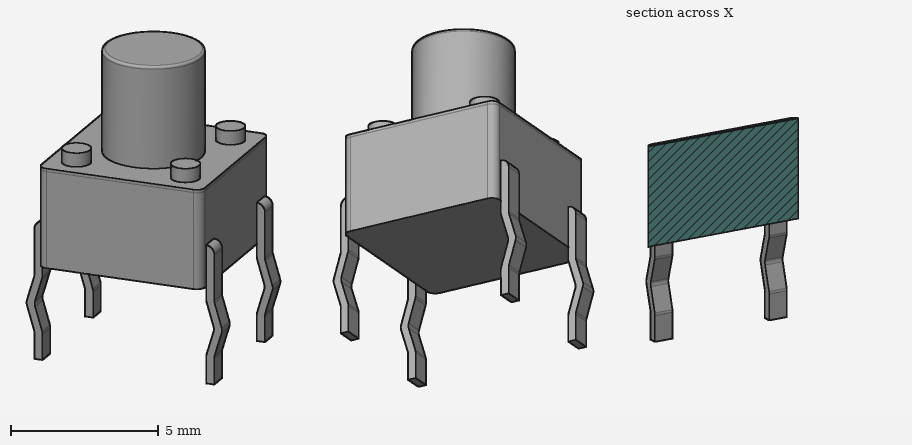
import cadquery as cq

BODY_SIDE = 6.0
BODY_HEIGHT = 3.5
BODY_CORNER_RADIUS = 0.3

COVER_THICKNESS = 0.1
COVER_TOP = BODY_HEIGHT + COVER_THICKNESS

BUTTON_DIAMETER = 3.5
BUTTON_HEIGHT = 3.7
BUTTON_EDGE_RADIUS = 0.1

POST_DIAMETER = 1.0
POST_HEIGHT = 0.5
POST_SPACING = 4.0

LEAD_THICKNESS = 0.3
LEAD_WIDTH = 0.7
LEAD_SPACING = 4.5
LEAD_TOP = 1.5
LEAD_BOTTOM = -3.5
KINK_CENTER = -1.5
KINK_HALF_HEIGHT = 1.0
KINK_OFFSET = 0.3
KINK_BEND_RADIUS = 0.3


def make_plate(bottom, thickness):
    """Square plate with the rounded corners shared by housing and cover."""
    plate = cq.Workplane("XY", origin=(0, 0, bottom)).rect(BODY_SIDE, BODY_SIDE).extrude(thickness)
    return plate.edges("|Z").fillet(BODY_CORNER_RADIUS)


def make_button():
    """Cylinder standing on the cover, with a rounded top edge."""
    button = cq.Workplane("XY", origin=(0, 0, COVER_TOP)).circle(BUTTON_DIAMETER / 2).extrude(BUTTON_HEIGHT)
    return button.faces(">Z").edges().fillet(BUTTON_EDGE_RADIUS)


def make_posts():
    """Four short round posts in a square pattern."""
    corners = cq.Workplane("XY", origin=(0, 0, COVER_TOP))
    corners = corners.rect(POST_SPACING, POST_SPACING, forConstruction=True).vertices()
    return corners.circle(POST_DIAMETER / 2).extrude(POST_HEIGHT)


def make_lead(y_center):
    """One lead on the +X side: quarter-round top end, kinked leg, rounded bends."""
    inner = BODY_SIDE / 2
    outer = inner + LEAD_THICKNESS
    kink_top = KINK_CENTER + KINK_HALF_HEIGHT
    kink_bottom = KINK_CENTER - KINK_HALF_HEIGHT
    lead = (
        cq.Workplane("XZ", origin=(0, y_center + LEAD_WIDTH / 2, 0))
        .moveTo(inner, LEAD_TOP)
        .radiusArc((outer, LEAD_TOP - LEAD_THICKNESS), LEAD_THICKNESS)
        .lineTo(outer, kink_top)
        .lineTo(outer + KINK_OFFSET, KINK_CENTER)
        .lineTo(outer, kink_bottom)
        .lineTo(outer, LEAD_BOTTOM)
        .lineTo(inner, LEAD_BOTTOM)
        .lineTo(inner, kink_bottom)
        .lineTo(inner + KINK_OFFSET, KINK_CENTER)
        .lineTo(inner, kink_top)
        .close()
        .extrude(LEAD_WIDTH)
    )
    margin = KINK_BEND_RADIUS
    kink_box = cq.selectors.BoxSelector(
        (inner - margin, y_center - LEAD_WIDTH, kink_bottom - margin),
        (outer + KINK_OFFSET + margin, y_center + LEAD_WIDTH, kink_top + margin),
    )
    return lead.edges("|Y").edges(kink_box).fillet(KINK_BEND_RADIUS)


housing = make_plate(0, BODY_HEIGHT)
cover = make_plate(BODY_HEIGHT, COVER_THICKNESS)
parts_to_join = [cover, make_button(), make_posts()]
for y_center in (-LEAD_SPACING / 2, LEAD_SPACING / 2):
    lead = make_lead(y_center)
    parts_to_join += [lead, lead.mirror("YZ")]

result = housing
for part in parts_to_join:
    result = result.union(part, clean=False)